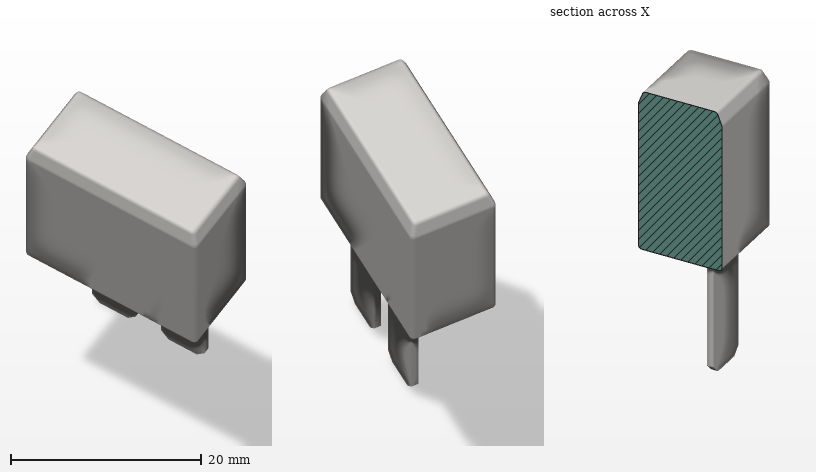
import cadquery as cq

body_width = 21.5
body_depth = 10.1
body_height = 19.35
rim_height = 1.6
rim_inset = 0.65
edge_radius = 0.5
shoulder_radius = 0.75

overall_height = 33.38
blade_width = 5.47
blade_thickness = 0.8
blade_pitch = 8.65
blade_y = 2.77
tip_chamfer = 0.97
blade_length = overall_height - body_height
blade_embed = 1.0


def make_housing():
    straight_height = body_height - rim_height
    block = cq.Workplane("XY").box(
        body_width, body_depth, straight_height, centered=(True, True, False)
    )
    rim = (
        cq.Workplane("XY", origin=(0, 0, straight_height))
        .rect(body_width, body_depth)
        .workplane(offset=rim_height)
        .rect(body_width - 2 * rim_inset, body_depth - 2 * rim_inset)
        .loft(ruled=True)
    )
    housing = block.union(rim)
    tolerance = 0.05
    shoulder = cq.selectors.BoxSelector(
        (-body_width, -body_depth, straight_height - tolerance),
        (body_width, body_depth, straight_height + tolerance),
    )
    softened = housing.edges(shoulder).fillet(shoulder_radius)
    return softened.edges('|Z or >Z or <Z').fillet(edge_radius)


def make_blade(x):
    height = blade_length + blade_embed
    return (
        cq.Workplane("XY")
        .box(blade_width, blade_thickness, height, centered=(True, True, False))
        .faces("<Z")
        .edges("|Y")
        .chamfer(tip_chamfer)
        .translate((x, blade_y, -blade_length))
    )


result = make_housing()
for side in (-1, 1):
    result = result.union(make_blade(side * blade_pitch / 2))